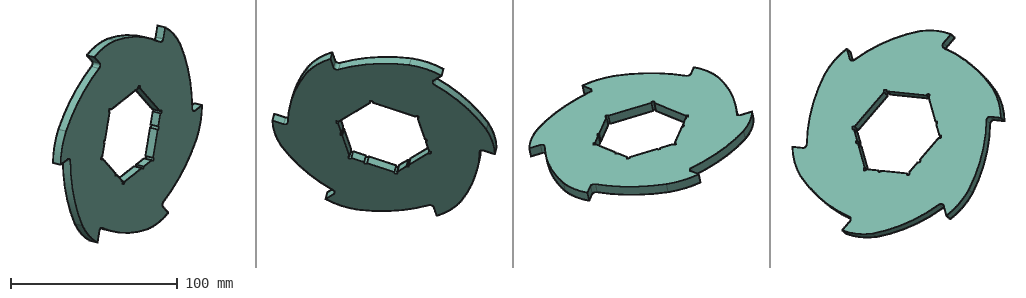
import cadquery as cq
import math

thickness = 6.0
tooth_count = 6
tip_radius = 68.0
tip_angle = -1.5
face_angle = -15.0
seam_radius = 65.2
seam_lag = 17.7
tip_arc_radius = 67.1
tip_arc_lag = 8.2
back_arc_radius = 61.0
back_arc_lag = 35.0
root_radius = 58.6
root_fillet = 2.0

hex_apothem = 25.1
relief_radius = 1.0
side_relief_offset = 4.6
relieved_sides = (15.0, 195.0, 255.0, 315.0)

pitch = 360.0 / tooth_count
hex_corner_radius = hex_apothem / math.cos(math.radians(30))
hex_corner_angles = [face_angle + 60.0 * i for i in range(6)]


def polar(radius, angle):
    """Point in the YZ plane; angles run from -Y towards +Z."""
    turn = math.radians(angle)
    return (-radius * math.cos(turn), radius * math.sin(turn))


def root_angle():
    """Angle at which the first cutting face, run straight inward, reaches the root radius."""
    face_offset = tip_radius * math.sin(math.radians(tip_angle - face_angle))
    return face_angle + math.degrees(math.asin(face_offset / root_radius))


def toothed_disc():
    outline = cq.Workplane("YZ").moveTo(*polar(tip_radius, tip_angle))
    for i in range(tooth_count):
        tip = tip_angle + i * pitch
        next_root = root_angle() + (i + 1) * pitch
        outline = outline.threePointArc(
            polar(tip_arc_radius, tip + tip_arc_lag), polar(seam_radius, tip + seam_lag)
        )
        outline = outline.threePointArc(
            polar(back_arc_radius, tip + back_arc_lag), polar(root_radius, next_root)
        )
        if i < tooth_count - 1:
            outline = outline.lineTo(*polar(tip_radius, tip + pitch))
    disc = outline.close().extrude(thickness / 2, both=True)

    for i in range(tooth_count):
        y, z = polar(root_radius, root_angle() + i * pitch)
        root_edge = cq.selectors.NearestToPointSelector((0, y, z))
        disc = disc.edges("|X").edges(root_edge).fillet(root_fillet)
    return disc


def hexagonal_bore():
    corners = [polar(hex_corner_radius, angle) for angle in hex_corner_angles]
    bore = cq.Workplane("YZ").polyline(corners).close().extrude(thickness, both=True)

    side_relief_radius = math.hypot(hex_apothem, side_relief_offset)
    relief_lag = math.degrees(math.atan2(side_relief_offset, hex_apothem))
    side_points = [polar(side_relief_radius, side - relief_lag) for side in relieved_sides]
    reliefs = (
        cq.Workplane("YZ").pushPoints(corners + side_points)
        .circle(relief_radius).extrude(thickness, both=True)
    )
    return bore.union(reliefs)


result = toothed_disc().cut(hexagonal_bore())